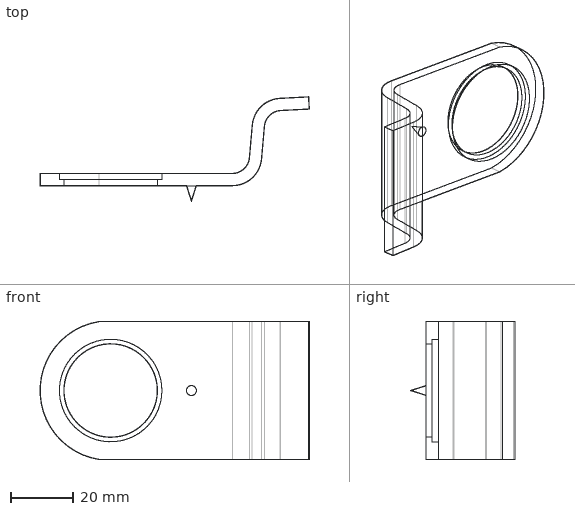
import cadquery as cq
import math


thickness = 4.0
width = 44.45
eye_radius = 22.5
eye_centre_x = -0.25
hole_diameter = 30.0
counterbore_diameter = 33.0
counterbore_depth = 2.0
overall_length = 86.72

bend_start_x = 39.15
bend_inner_radius = 5.5
leg_angle = math.radians(85.0)
leg_length = 10.54
tab_angle = math.radians(3.0)

spike_x = 26.0
spike_base_diameter = 3.2
spike_length = 5.0

bend_radius = bend_inner_radius + thickness / 2
eye_left_x = eye_centre_x - eye_radius
tab_end_x = eye_left_x + overall_length


def step(point, distance, angle):
    """Return the point reached by going a distance from a point at an angle to X."""
    return (point[0] + distance * math.cos(angle), point[1] + distance * math.sin(angle))


def strip_centreline():
    """Middle line of the strip thickness: flat, bend, leg, reverse bend and tab."""
    quarter = math.pi / 2
    flat_start = (eye_left_x, thickness / 2)
    flat_end = (bend_start_x, thickness / 2)

    lower_centre = step(flat_end, bend_radius, quarter)
    leg_start = step(lower_centre, bend_radius, leg_angle - quarter)
    leg_end = step(leg_start, leg_length, leg_angle)

    upper_centre = step(leg_end, bend_radius, leg_angle - quarter)
    tab_start = step(upper_centre, bend_radius, tab_angle + quarter)

    corner_overhang = thickness / 2 * math.sin(tab_angle)
    tab_length = (tab_end_x - corner_overhang - tab_start[0]) / math.cos(tab_angle)
    tab_end = step(tab_start, tab_length, tab_angle)

    return (
        cq.Workplane("XY")
        .moveTo(*flat_start)
        .lineTo(*flat_end)
        .tangentArcPoint(leg_start, relative=False)
        .lineTo(*leg_end)
        .tangentArcPoint(tab_start, relative=False)
        .lineTo(*tab_end)
    )


def eye_end_waste():
    """Material outside the rounded end of the flat."""
    corner_block = (
        cq.Workplane("XY")
        .box(eye_radius, thickness, width, centered=(False, False, True))
        .translate((eye_left_x, 0, 0))
    )
    eye_disc = cq.Workplane("XZ").center(eye_centre_x, 0).circle(eye_radius).extrude(-thickness)
    return corner_block.cut(eye_disc)


def hole_cutter():
    """Through hole with a counterbore on the face away from the spike."""
    hole = cq.Workplane("XZ").circle(hole_diameter / 2).extrude(-thickness)
    counterbore = (
        cq.Workplane("XZ", origin=(0, thickness - counterbore_depth, 0))
        .circle(counterbore_diameter / 2)
        .extrude(-counterbore_depth)
    )
    return hole.union(counterbore)


def make_bracket():
    """Bent strip with a rounded eye end and a counterbored hole."""
    section = cq.Workplane("YZ", origin=(eye_left_x, thickness / 2, 0)).rect(thickness, width)
    strip = section.sweep(strip_centreline())
    return strip.cut(eye_end_waste()).cut(hole_cutter())


def make_spike():
    """Pointed cone standing on the flat face and aimed along -Y."""
    cone = cq.Solid.makeCone(
        spike_base_diameter / 2, 0, spike_length,
        pnt=cq.Vector(spike_x, 0, 0), dir=cq.Vector(0, -1, 0),
    )
    return cq.Workplane(obj=cone)


bracket = make_bracket()
spike = make_spike()
result = cq.Compound.makeCompound([*bracket.solids().vals(), spike.val()])